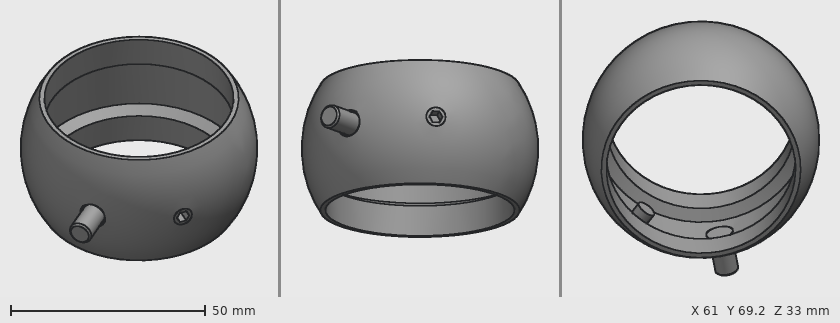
import cadquery as cq
import math

BALL_DIAMETER = 61.0
RING_HEIGHT = 33.0
BORE_DIAMETER = 48.7
GROOVE_DIAMETER = 55.0
GROOVE_MOUTH_HEIGHT = 17.0
GROOVE_FLOOR_HEIGHT = 13.8

SHANK_DIAMETER = 6.0
ROOT_DIAMETER = 7.0
SHOULDER_RECESS = 1.0
PIN_REACH = 38.65
TIP_CHAMFER = 0.52

SCREW_DIAMETER = 5.0
SCREW_LENGTH = 6.0
SOCKET_ACROSS_FLATS = 3.0
SOCKET_DEPTH = 4.0

PIN_ANGLE = -90
SCREW_ANGLE = -45

BALL_RADIUS = BALL_DIAMETER / 2
GROOVE_RADIUS = GROOVE_DIAMETER / 2
BORE_RADIUS = BORE_DIAMETER / 2

SHOULDER = (ROOT_DIAMETER - SHANK_DIAMETER) / 2
SHOULDER_REACH = BALL_RADIUS - SHOULDER_RECESS

SCREW_REACH = BALL_RADIUS
CUT_OVERRUN = 0.7


def radial_plane(angle, distance):
    """Plane at mid-height, facing away from the ring axis, its local X level."""
    turn = math.radians(angle)
    outward = (math.cos(turn), math.sin(turn), 0)
    level = (-math.sin(turn), math.cos(turn), 0)
    origin = (distance * outward[0], distance * outward[1], 0)
    return cq.Plane(origin=origin, xDir=level, normal=outward)


def radial_cylinder(angle, diameter, inner, outer):
    """Solid cylinder along a radial direction, between two distances from the ring axis."""
    return cq.Workplane(radial_plane(angle, inner)).circle(diameter / 2).extrude(outer - inner)


def make_ball_band():
    """Ball cut flat at both ends and bored through along Z."""
    ball = cq.Workplane("XY").sphere(BALL_RADIUS)
    band = (
        cq.Workplane("XY")
        .circle(BALL_RADIUS + CUT_OVERRUN)
        .circle(BORE_RADIUS)
        .extrude(RING_HEIGHT / 2, both=True)
    )
    return ball.intersect(band)


def make_groove():
    """Groove inside the bore, with sloping upper and lower sides."""
    profile = [
        (0, -GROOVE_MOUTH_HEIGHT / 2),
        (BORE_RADIUS, -GROOVE_MOUTH_HEIGHT / 2),
        (GROOVE_RADIUS, -GROOVE_FLOOR_HEIGHT / 2),
        (GROOVE_RADIUS, GROOVE_FLOOR_HEIGHT / 2),
        (BORE_RADIUS, GROOVE_MOUTH_HEIGHT / 2),
        (0, GROOVE_MOUTH_HEIGHT / 2),
    ]
    return cq.Workplane("XZ").polyline(profile).close().revolve(360, (0, 0, 0), (0, 1, 0))


def make_ring():
    """Grooved ball band with one radial hole for the pin and one for the set screw."""
    pin_hole = radial_cylinder(PIN_ANGLE, ROOT_DIAMETER, BORE_RADIUS, BALL_RADIUS + CUT_OVERRUN)
    screw_hole = radial_cylinder(SCREW_ANGLE, SCREW_DIAMETER, BORE_RADIUS, BALL_RADIUS + CUT_OVERRUN)
    return make_ball_band().cut(make_groove()).cut(pin_hole).cut(screw_hole)


def make_pin():
    """Root that fills the hole up to its shoulder, with the longer shank on the same axis."""
    root = radial_cylinder(PIN_ANGLE, ROOT_DIAMETER, GROOVE_RADIUS, SHOULDER_REACH)
    root = root.faces("<Y").chamfer(SHOULDER)
    shank = radial_cylinder(PIN_ANGLE, SHANK_DIAMETER, GROOVE_RADIUS, PIN_REACH)
    shank = shank.faces("<Y").chamfer(TIP_CHAMFER)
    return root.union(shank)


def make_set_screw():
    """Plain cylinder with a blind hexagon socket."""
    screw = radial_cylinder(SCREW_ANGLE, SCREW_DIAMETER, SCREW_REACH - SCREW_LENGTH, SCREW_REACH)
    across_corners = SOCKET_ACROSS_FLATS / math.cos(math.radians(30))
    socket = (
        cq.Workplane(radial_plane(SCREW_ANGLE, SCREW_REACH))
        .polygon(6, across_corners)
        .extrude(-SOCKET_DEPTH)
    )
    return screw.cut(socket)


ring = make_ring()
pin = make_pin()
set_screw = make_set_screw()

result = cq.Compound.makeCompound([ring.val(), pin.val(), set_screw.val()])